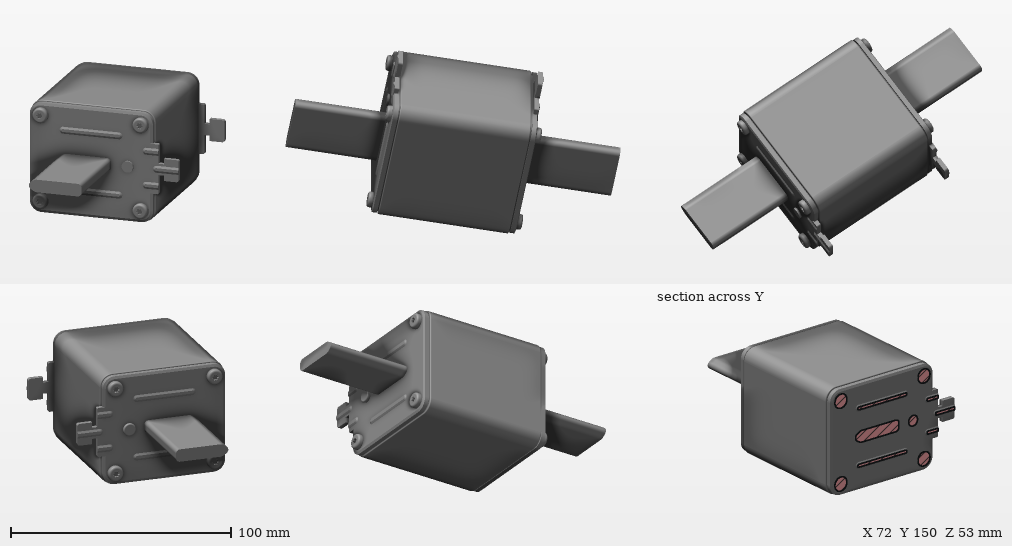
import cadquery as cq
import math

blade_length = 150.0

housing_width = 60.0
housing_height = 53.0
housing_length = 60.3
housing_corner_radius = 6.0
housing_edge_radius = 0.5

gasket_thickness = 0.6
gasket_width = 58.5
gasket_height = 49.5

cover_inset = 0.5
cover_thickness = 2.5
cover_bevel_depth = 0.5
cover_bevel_width = 1.2
cover_corner_radius = housing_corner_radius - cover_inset
cover_width = housing_width - 2 * cover_inset
cover_height = housing_height - 2 * cover_inset

lug_thickness = 2.1
lug_root_x = 27.0
lug_shoulder_x = 32.4
lug_half_height = 11.8
lug_corner_radius = 0.6
neck_half_height = 2.7
head_start_x = 35.0
head_end_x = 42.0
head_half_height = 5.2
head_corner_radius = 1.0

rib_width = 3.3
rib_rise = 0.52
rib_top_width = 1.4
long_rib_start_x = -15.2
long_rib_end_x = 15.0
long_rib_z = 14.1
short_rib_start_x = 24.8
short_rib_z = 8.1
head_rib_start_x = 29.7

screw_x = 24.0
screw_z = 20.4
screw_head_radius = 3.6
screw_head_height = 2.4
screw_head_edge_radius = 1.0
socket_core_radius = 1.12
socket_lobe_radius = 0.38
socket_lobe_count = 6
socket_depth = 1.2

pin_x = 17.7
pin_radius = 2.7
pin_height = 1.0
capped_pin_x = 17.2
cap_radius = 3.0
cap_height = 1.0
cap_base_height = 0.8
cap_edge_radius = 0.6

blade_thickness = 6.0
blade_back_x = 9.6
blade_back_radius = 2.0
blade_shoulder_x = -12.8
blade_apex_x = -17.2
blade_shoulder_radius = 3.0
blade_tip_radius = 2.0

cover_inner_y = housing_length / 2 + gasket_thickness
cover_outer_y = cover_inner_y + cover_thickness


def outward_plane(y):
    """Sketch plane at height y: local x is X, local y is -Z, extrusion goes toward +Y."""
    return cq.Workplane(cq.Plane(origin=(0, y, 0), xDir=(1, 0, 0), normal=(0, 1, 0)))


def rounded_block(width, height, radius, start_y, length):
    block = outward_plane(start_y).rect(width, height).extrude(length)
    return block.edges("|Y").fillet(radius)


def make_housing():
    housing = rounded_block(
        housing_width, housing_height, housing_corner_radius, -housing_length / 2, housing_length
    )
    return housing.faces("<Y or >Y").edges().fillet(housing_edge_radius)


def make_lug_plate(start_x, end_x, half_height):
    """Flat piece of the lug, flush with the outer face of the cover plate."""
    return (
        outward_plane(cover_outer_y - lug_thickness)
        .center((start_x + end_x) / 2, 0)
        .rect(end_x - start_x, 2 * half_height)
        .extrude(lug_thickness)
    )


def make_lug():
    """T-shaped grip lug with rounded outer corners."""
    shoulder = make_lug_plate(lug_root_x, lug_shoulder_x, lug_half_height)
    shoulder = shoulder.edges("|Y and >X").fillet(lug_corner_radius)
    neck = make_lug_plate(lug_root_x, (head_start_x + head_end_x) / 2, neck_half_height)
    head = make_lug_plate(head_start_x, head_end_x, head_half_height)
    head = head.edges("|Y and >X").fillet(head_corner_radius)
    return shoulder.union(neck).union(head)


def make_rib(start_x, end_x, z):
    """Raised rib with round ends and sloping flanks."""
    flank_angle = math.degrees(math.atan2((rib_width - rib_top_width) / 2, rib_rise))
    return (
        outward_plane(cover_outer_y)
        .center((start_x + end_x) / 2, -z)
        .slot2D(end_x - start_x, rib_width)
        .extrude(rib_rise, taper=flank_angle)
    )


def make_open_rib(start_x, edge_x, z):
    """Rib that runs out square at the edge of the lug."""
    rib = make_rib(start_x, edge_x + rib_width, z)
    beyond_edge = outward_plane(cover_outer_y).center(edge_x + rib_width, -z)
    return rib.cut(beyond_edge.rect(2 * rib_width, 2 * rib_width).extrude(rib_rise))


def make_screw(x, z):
    head = (
        outward_plane(cover_outer_y)
        .center(x, -z)
        .circle(screw_head_radius)
        .extrude(screw_head_height)
        .faces(">Y")
        .edges()
        .fillet(screw_head_edge_radius)
    )
    socket_floor = outward_plane(cover_outer_y + screw_head_height - socket_depth).center(x, -z)
    core = socket_floor.circle(socket_core_radius).extrude(socket_depth)
    lobes = (
        socket_floor.polarArray(socket_core_radius, 0, 360, socket_lobe_count)
        .circle(socket_lobe_radius)
        .extrude(socket_depth)
    )
    return head.cut(core).cut(lobes)


def make_end():
    """Gasket, cover plate, lug, ribs and screws of the +Y end."""
    end = rounded_block(
        gasket_width, gasket_height, cover_corner_radius, housing_length / 2, gasket_thickness
    )
    cover = rounded_block(
        cover_width, cover_height, cover_corner_radius, cover_inner_y, cover_thickness
    )
    cover = cover.faces(">Y").edges().chamfer(cover_bevel_depth, cover_bevel_width)
    end = end.union(cover).union(make_lug())
    end = end.union(make_open_rib(head_rib_start_x, head_end_x, 0))
    for side in (-1, 1):
        end = end.union(make_rib(long_rib_start_x, long_rib_end_x, side * long_rib_z))
        end = end.union(make_open_rib(short_rib_start_x, lug_shoulder_x, side * short_rib_z))
        for x in (-screw_x, screw_x):
            end = end.union(make_screw(x, side * screw_z))
    return end


def make_blade():
    half = blade_thickness / 2
    blade = (
        outward_plane(-blade_length / 2)
        .polyline([
            (blade_back_x, -half),
            (blade_back_x, half),
            (blade_shoulder_x, half),
            (blade_apex_x, 0),
            (blade_shoulder_x, -half),
        ])
        .close()
        .extrude(blade_length)
    )
    blade = blade.edges("|Y and >X").fillet(blade_back_radius)
    blade = blade.edges("|Y and <X").fillet(blade_tip_radius)
    shoulder_edges = cq.selectors.BoxSelector(
        (blade_shoulder_x - half / 2, -blade_length, -blade_thickness),
        (blade_shoulder_x + half / 2, blade_length, blade_thickness),
    )
    return blade.edges(shoulder_edges).edges("|Y").fillet(blade_shoulder_radius)


def make_pin(x):
    return outward_plane(cover_outer_y).center(x, 0).circle(pin_radius).extrude(pin_height)


def make_capped_pin():
    cap = (
        outward_plane(cover_outer_y + cap_base_height)
        .center(capped_pin_x, 0)
        .circle(cap_radius)
        .extrude(cap_height)
        .faces(">Y")
        .edges()
        .fillet(cap_edge_radius)
    )
    return make_pin(capped_pin_x).union(cap)


back_end = make_end()
front_end = back_end.mirror("XZ")

result = (
    make_housing()
    .union(back_end)
    .union(front_end)
    .union(make_capped_pin())
    .union(make_pin(pin_x).mirror("XZ"))
    .union(make_blade())
)